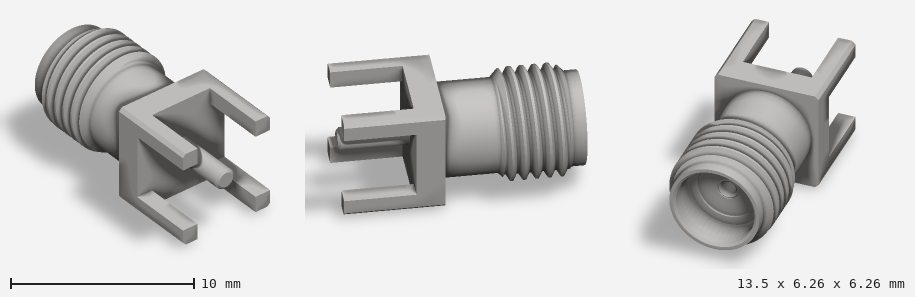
import cadquery as cq
import math

THREAD_START = 0.73
THREAD_END = 4.78
FLANGE_START = 7.9
FLANGE_THICKNESS = 1.6
FLANGE_END = FLANGE_START + FLANGE_THICKNESS
OVERALL_LENGTH = 13.5
PIN_END = 13.46

BARREL_RADIUS = 2.63
BORE_RADIUS = 2.3
BORE_DEPTH = 1.95
BORE_MOUTH_CHAMFER = 0.14
BORE_FLOOR_CHAMFER = 0.05
RECESS_RADIUS = 1.74
RECESS_DEPTH = 0.14
RECESS_FLOOR = BORE_DEPTH + RECESS_DEPTH

THREAD_RADIUS = 3.13
THREAD_DEPTH = 0.38
THREAD_PITCH = 0.7
GROOVE_ROOT_WIDTH = 0.12
FLANK_ANGLE = math.radians(30)
GROOVE_START = 0.31
GROOVE_OVERCUT = 0.07

FLANGE_WIDTH = 6.09
CORNER_CHAMFER = 0.2
LEG_GAP = 4.04

CONTACT_RADIUS = 0.63
CONTACT_TIP_CHAMFER = 0.07
PIN_TIP_CHAMFER = 0.16
CONTACT_TIP = RECESS_FLOOR
SOCKET_RADIUS = 0.43
SOCKET_DEPTH = 1.89
SOCKET_COUNTERSINK = 0.11


def revolve_about_x(points):
    """Solid of revolution about X from (x, radius) points."""
    return cq.Workplane("XY").polyline(points).close().revolve(360, (0, 0, 0), (1, 0, 0))


def rod(x_start, x_end, radius):
    """Cylinder along X between two positions."""
    return cq.Workplane("YZ", origin=(x_start, 0, 0)).circle(radius).extrude(x_end - x_start)


def make_thread_groove():
    """Trapezoidal cutter swept along a helix that runs past both thread ends."""
    root_radius = THREAD_RADIUS - THREAD_DEPTH
    outer_radius = THREAD_RADIUS + GROOVE_OVERCUT
    root_half = GROOVE_ROOT_WIDTH / 2
    outer_half = root_half + (outer_radius - root_radius) * math.tan(FLANK_ANGLE)
    helix_length = THREAD_END + THREAD_PITCH - GROOVE_START

    helix = cq.Wire.makeHelix(THREAD_PITCH, helix_length, root_radius)
    cutter = (
        cq.Workplane("XZ")
        .polyline([
            (root_radius, -root_half),
            (outer_radius, -outer_half),
            (outer_radius, outer_half),
            (root_radius, root_half),
        ])
        .close()
        .sweep(cq.Workplane(helix), isFrenet=True)
    )
    placement = cq.Location(cq.Plane.named("YZ", (GROOVE_START, 0, 0)))
    return cq.Workplane(cutter.val().moved(placement))


def make_thread():
    """Threaded sleeve, with 45 degree ends running down to the barrel."""
    end_chamfer = THREAD_RADIUS - BARREL_RADIUS
    sleeve = rod(THREAD_START, THREAD_END, THREAD_RADIUS)
    tapered_sleeve = sleeve.faces("<X or >X").chamfer(end_chamfer)
    return sleeve.cut(make_thread_groove()).intersect(tapered_sleeve)


def make_bore():
    """Mating bore with chamfered mouth and floor, and the shallow recess in its floor."""
    return revolve_about_x([
        (0, 0),
        (0, BORE_RADIUS + BORE_MOUTH_CHAMFER),
        (BORE_MOUTH_CHAMFER, BORE_RADIUS),
        (BORE_DEPTH - BORE_FLOOR_CHAMFER, BORE_RADIUS),
        (BORE_DEPTH, BORE_RADIUS - BORE_FLOOR_CHAMFER),
        (BORE_DEPTH, RECESS_RADIUS),
        (RECESS_FLOOR, RECESS_RADIUS),
        (RECESS_FLOOR, 0),
    ])


def make_flange():
    """Square flange; two crossing slots leave a leg at each corner."""
    length = OVERALL_LENGTH - FLANGE_START
    leg_length = OVERALL_LENGTH - FLANGE_END
    flange = (
        cq.Workplane("YZ", origin=(FLANGE_START, 0, 0))
        .rect(FLANGE_WIDTH, FLANGE_WIDTH)
        .extrude(length)
        .edges("|X")
        .chamfer(CORNER_CHAMFER)
    )
    for slot_y, slot_z in [(LEG_GAP, FLANGE_WIDTH), (FLANGE_WIDTH, LEG_GAP)]:
        slot = cq.Workplane("YZ", origin=(FLANGE_END, 0, 0)).rect(slot_y, slot_z).extrude(leg_length)
        flange = flange.cut(slot)
    return flange


def make_contact():
    """Centre contact, level with the recess floor, with a chamfered tail pin."""
    return rod(CONTACT_TIP, PIN_END, CONTACT_RADIUS).faces(">X").chamfer(PIN_TIP_CHAMFER)


def make_tip_groove():
    """Sharp ring groove left where the contact's chamfered tip meets the recess floor."""
    return revolve_about_x([
        (CONTACT_TIP, CONTACT_RADIUS),
        (CONTACT_TIP, CONTACT_RADIUS - CONTACT_TIP_CHAMFER),
        (CONTACT_TIP + CONTACT_TIP_CHAMFER, CONTACT_RADIUS),
    ])


def make_socket():
    """Countersunk blind hole in the front of the contact."""
    return revolve_about_x([
        (CONTACT_TIP, 0),
        (CONTACT_TIP, SOCKET_RADIUS + SOCKET_COUNTERSINK),
        (CONTACT_TIP + SOCKET_COUNTERSINK, SOCKET_RADIUS),
        (CONTACT_TIP + SOCKET_DEPTH, SOCKET_RADIUS),
        (CONTACT_TIP + SOCKET_DEPTH, 0),
    ])


barrel = rod(0, FLANGE_START, BARREL_RADIUS)
shell = barrel.union(make_thread()).union(make_flange()).cut(make_bore())
result = shell.union(make_contact()).cut(make_tip_groove()).cut(make_socket())